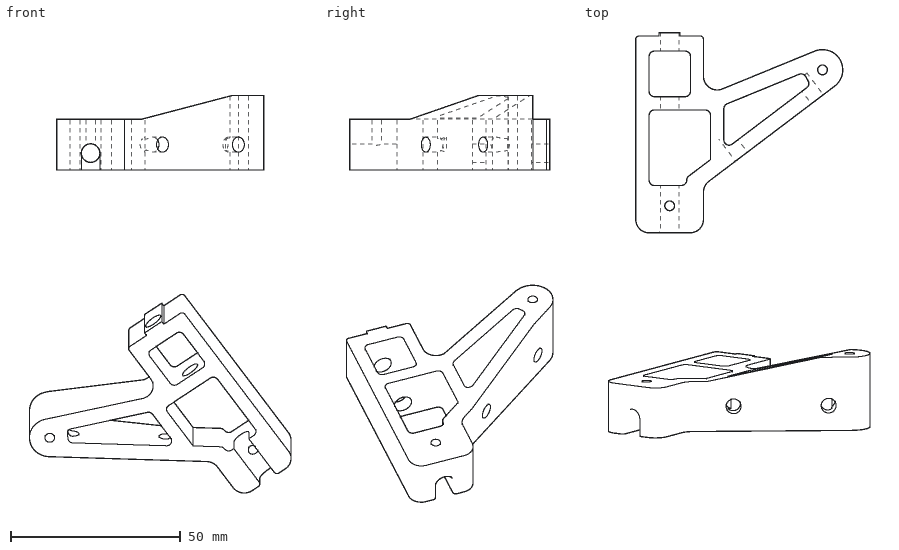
import cadquery as cq
import math


body_width = 20.0
body_length = 58.0
body_height = 15.0
front_corner_radius = 4.0
back_corner_radius = 1.0
wall = 4.0

tab_width = 6.25
tab_length = 1.0

window_radius = 1.5
small_window_width = 12.1
small_window_start = 40.15
small_window_end = 53.5
large_window_start = 14.0
large_window_end = small_window_start - wall
large_window_right = 22.0
large_window_step = 15.0
large_window_corner = 21.58

tip_x = 55.0
tip_y = 48.0
tip_radius = 6.0
tip_height = 22.0
ramp_start = 25.0
ramp_end = 51.7
arm_fillet = 4.0

arm_window_left = 26.0
arm_wall = 4.63
arm_tip_gap = 5.3

screw_diameter = 2.8
screw_y = 8.0
rod_diameter = 5.4
rod_z = 5.0
slot_entry_radius = 1.0
side_hole_diameter = 4.4
side_hole_z = 7.5
side_hole_spacing = 28.0
side_hole_first = 14.0
side_hole_count = 2
side_hole_depth = 8.0

pick_margin = 0.1

body_center_x = body_width / 2
lower_root = (body_width, large_window_start)
upper_root = (body_width, small_window_start)


def tip_tangent_angle(root, side):
    """Angle of the line from root that touches the tip circle; side +1 passes above, -1 below."""
    dx = tip_x - root[0]
    dy = tip_y - root[1]
    return math.atan2(dy, dx) + side * math.asin(tip_radius / math.hypot(dx, dy))


lower_angle = tip_tangent_angle(lower_root, -1)
upper_angle = tip_tangent_angle(upper_root, 1)
middle_angle = (lower_angle + upper_angle) / 2


def tip_point(angle, radius=tip_radius):
    """Point at the given direction and distance from the tip centre."""
    return (tip_x + radius * math.cos(angle), tip_y + radius * math.sin(angle))


def line_meet(point_a, angle_a, point_b, angle_b):
    """Crossing point of two lines given by a point and a direction."""
    dx = point_b[0] - point_a[0]
    dy = point_b[1] - point_a[1]
    turn = math.sin(angle_b - angle_a)
    along = (dx * math.sin(angle_b) - dy * math.cos(angle_b)) / turn
    return (point_a[0] + along * math.cos(angle_a), point_a[1] + along * math.sin(angle_a))


def at_point(x, y):
    """Selector for the full-height vertical edge through a plan point."""
    low_corner = (x - pick_margin, y - pick_margin, 0)
    high_corner = (x + pick_margin, y + pick_margin, tip_height)
    return cq.selectors.BoxSelector(low_corner, high_corner)


def make_outline():
    """Body and arm in one plan, raised to the tip height."""
    plan = (
        cq.Workplane("XY")
        .moveTo(0, 0)
        .lineTo(body_width, 0)
        .lineTo(*lower_root)
        .lineTo(*tip_point(lower_angle - math.pi / 2))
        .threePointArc(tip_point(middle_angle), tip_point(upper_angle + math.pi / 2))
        .lineTo(*upper_root)
        .lineTo(body_width, body_length)
        .lineTo(0, body_length)
        .close()
        .extrude(tip_height)
    )
    for x in (0, body_width):
        plan = plan.edges(at_point(x, 0)).fillet(front_corner_radius)
        plan = plan.edges(at_point(x, body_length)).fillet(back_corner_radius)
    for root in (lower_root, upper_root):
        plan = plan.edges(at_point(*root)).fillet(arm_fillet)
    return plan


def make_space_above():
    """Space removed above the body and above the arm's ramp."""
    return (
        cq.Workplane("XZ")
        .moveTo(0, body_height)
        .lineTo(ramp_start, body_height)
        .lineTo(ramp_end, tip_height)
        .lineTo(0, tip_height)
        .close()
        .extrude(-body_length)
    )


def make_tab():
    """Full-height tab, sunk into the back face by its own length."""
    tab = cq.Workplane("XY").box(tab_width, 2 * tab_length, body_height, centered=(True, True, False))
    return tab.translate((body_center_x, body_length, 0))


def make_window(points, sharp_corner=None):
    """Through cutter with rounded vertical corners, except at sharp_corner if given."""
    cutter = cq.Workplane("XY").polyline(points).close().extrude(tip_height)
    rounded = cq.StringSyntaxSelector("|Z")
    if sharp_corner:
        rounded = rounded - at_point(*sharp_corner)
    return cutter.edges(rounded).fillet(window_radius)


def make_small_window():
    right = wall + small_window_width
    return make_window(
        [
            (wall, small_window_start),
            (right, small_window_start),
            (right, small_window_end),
            (wall, small_window_end),
        ]
    )


def make_large_window():
    """Window whose lower right side runs parallel to the arm's lower edge."""
    corner = (large_window_right, large_window_corner)
    step_drop = (large_window_right - large_window_step) * math.tan(lower_angle)
    step = (large_window_step, large_window_corner - step_drop)
    return make_window(
        [
            (wall, large_window_start),
            (large_window_step, large_window_start),
            step,
            corner,
            (large_window_right, large_window_end),
            (wall, large_window_end),
        ],
        sharp_corner=corner,
    )


def make_arm_window():
    """Four-sided window at a constant wall from the arm's edges, blunt towards the tip."""
    lower_line = (lower_root[0], lower_root[1] + arm_wall / math.cos(lower_angle))
    upper_line = (upper_root[0], upper_root[1] - arm_wall / math.cos(upper_angle))
    left_line = (arm_window_left, 0)
    blunt_line = tip_point(middle_angle + math.pi, arm_tip_gap)
    blunt_angle = middle_angle + math.pi / 2
    return make_window(
        [
            line_meet(lower_line, lower_angle, left_line, math.pi / 2),
            line_meet(lower_line, lower_angle, blunt_line, blunt_angle),
            line_meet(upper_line, upper_angle, blunt_line, blunt_angle),
            line_meet(upper_line, upper_angle, left_line, math.pi / 2),
        ]
    )


def make_screw_hole(x, y):
    """Vertical through hole."""
    return cq.Workplane("XY").center(x, y).circle(screw_diameter / 2).extrude(tip_height)


def make_rod_hole():
    """Round passage along the whole body."""
    total_length = body_length + tab_length
    return cq.Workplane("XZ").center(body_center_x, rod_z).circle(rod_diameter / 2).extrude(-total_length)


def make_rod_slot():
    """Opening from the underside into the passage, through the front wall."""
    slot = cq.Workplane("XY").box(rod_diameter, large_window_start, rod_z, centered=(True, False, False))
    return slot.translate((body_center_x, 0, 0))


def round_slot_entry(part):
    """Rounds the slot's arch and both legs on the front face."""
    reach = rod_diameter / 2 + pick_margin
    low_corner = (body_center_x - reach, -pick_margin, pick_margin)
    high_corner = (body_center_x + reach, pick_margin, rod_z + reach)
    mouth = cq.selectors.BoxSelector(low_corner, high_corner)
    return part.edges(mouth).fillet(slot_entry_radius)


def make_side_hole(distance):
    """Blind hole square to the arm's lower face, at a distance from the face's root."""
    start = cq.Vector(
        lower_root[0] + distance * math.cos(lower_angle),
        lower_root[1] + distance * math.sin(lower_angle),
        side_hole_z,
    )
    inward = cq.Vector(-math.sin(lower_angle), math.cos(lower_angle), 0)
    return cq.Workplane(obj=cq.Solid.makeCylinder(side_hole_diameter / 2, side_hole_depth, start, inward))


part = make_outline().cut(make_space_above()).union(make_tab())
part = part.cut(make_small_window()).cut(make_large_window()).cut(make_arm_window())
part = part.cut(make_rod_hole()).cut(make_rod_slot())
part = round_slot_entry(part)
part = part.cut(make_screw_hole(body_center_x, screw_y)).cut(make_screw_hole(tip_x, tip_y))
for index in range(side_hole_count):
    part = part.cut(make_side_hole(side_hole_first + index * side_hole_spacing))

result = part